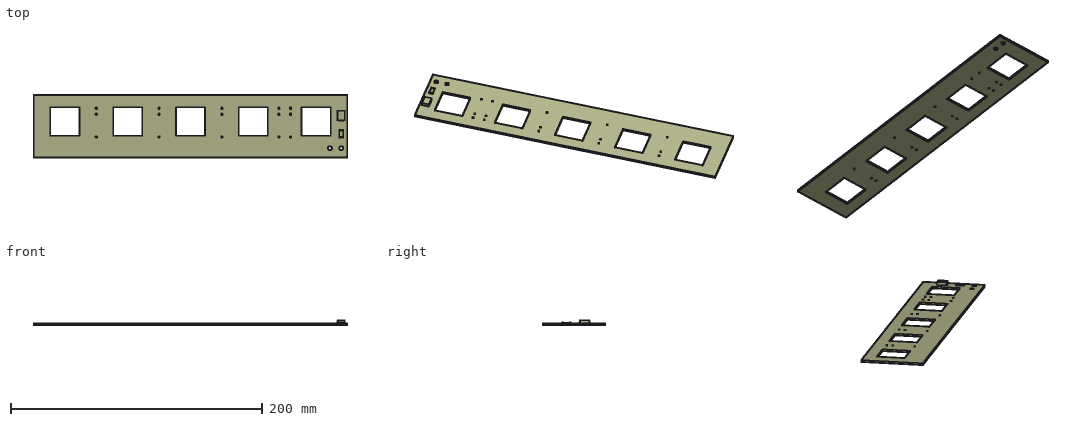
import cadquery as cq

BOARD_LENGTH = 250.0
BOARD_WIDTH = 50.0
BOARD_THICKNESS = 1.6

CELL_COUNT = 5
CELL_PITCH = BOARD_LENGTH / CELL_COUNT
WINDOW_LENGTH = 23.0
WINDOW_WIDTH = 22.5
WINDOW_Y = 3.8

PIN_HOLE_DIAMETER = 1.0
PIN_HOLE_ROWS = (14.2, 9.5, -8.5)
LAST_GAP_COLUMN_SPACING = 9.2

WIRE_HOLE_DIAMETER = 3.0
WIRE_HOLE_SPACING = 9.0
WIRE_HOLE_Y = -17.5

COMPONENT_X = 120.0

PACKAGE_WIDTH = 6.0
PACKAGE_LENGTH = 7.8
PACKAGE_Y = 8.5
PACKAGE_HEIGHT = 2.4
PARTING_LINE_HEIGHT = 1.1
PACKAGE_DRAFT = 5.0
LEAD_WIDTH = 3.0
LEAD_REACH = 0.2
LEAD_HEIGHT = 0.8

CHIP_WIDTH = 3.2
CHIP_LENGTH = 6.5
CHIP_Y = -6.0
TERMINAL_LENGTH = 0.8
TERMINAL_HEIGHT = 0.6
CHIP_BODY_HEIGHT = 0.55
CHIP_BODY_INSET = 0.15


def cell_x(index):
    """Centre of a cell along the board."""
    return (index - (CELL_COUNT - 1) / 2) * CELL_PITCH


def pin_column_positions():
    """X of every column of pin holes."""
    gaps = [cell_x(i) + CELL_PITCH / 2 for i in range(CELL_COUNT - 1)]
    last_gap = gaps.pop()
    half_spacing = LAST_GAP_COLUMN_SPACING / 2
    return gaps + [last_gap - half_spacing, last_gap + half_spacing]


def through_holes(diameter, positions):
    """Cutters for round holes through the full board thickness."""
    return cq.Workplane("XY").pushPoints(positions).circle(diameter / 2).extrude(BOARD_THICKNESS)


def make_board():
    """Flat board with its windows, pin holes and wire holes."""
    board = cq.Workplane("XY").rect(BOARD_LENGTH, BOARD_WIDTH).extrude(BOARD_THICKNESS)

    window_centres = [(cell_x(i), WINDOW_Y) for i in range(CELL_COUNT)]
    windows = (
        cq.Workplane("XY")
        .pushPoints(window_centres)
        .rect(WINDOW_LENGTH, WINDOW_WIDTH)
        .extrude(BOARD_THICKNESS)
    )

    pin_holes = [(x, y) for x in pin_column_positions() for y in PIN_HOLE_ROWS]
    wire_holes = [(COMPONENT_X - WIRE_HOLE_SPACING, WIRE_HOLE_Y), (COMPONENT_X, WIRE_HOLE_Y)]
    return (
        board.cut(windows)
        .cut(through_holes(PIN_HOLE_DIAMETER, pin_holes))
        .cut(through_holes(WIRE_HOLE_DIAMETER, wire_holes))
    )


def block_on_board(width, length, height, y):
    """Block standing on the board, centred on the component line."""
    base = cq.Workplane("XY", origin=(COMPONENT_X, y, BOARD_THICKNESS))
    return base.rect(width, length).extrude(height)


def make_package():
    """Two drafted halves meeting at the parting line, with a flat lead on the -Y end."""
    parting_z = BOARD_THICKNESS + PARTING_LINE_HEIGHT
    parting_plane = cq.Workplane("XY", origin=(COMPONENT_X, PACKAGE_Y, parting_z))
    upper_height = PACKAGE_HEIGHT - PARTING_LINE_HEIGHT
    upper_half = (
        parting_plane.rect(PACKAGE_WIDTH, PACKAGE_LENGTH).extrude(upper_height, taper=PACKAGE_DRAFT)
    )
    lower_half = (
        parting_plane.rect(PACKAGE_WIDTH, PACKAGE_LENGTH)
        .extrude(-PARTING_LINE_HEIGHT, taper=PACKAGE_DRAFT)
    )

    lead_length = PACKAGE_LENGTH / 2 + LEAD_REACH
    lead = block_on_board(LEAD_WIDTH, lead_length, LEAD_HEIGHT, PACKAGE_Y - lead_length / 2)
    return upper_half.union(lower_half).union(lead)


def make_chip():
    """Narrow body between two end terminals."""
    body_width = CHIP_WIDTH - 2 * CHIP_BODY_INSET
    body_length = CHIP_LENGTH - 2 * CHIP_BODY_INSET
    chip = block_on_board(body_width, body_length, CHIP_BODY_HEIGHT, CHIP_Y)

    terminal_offset = (CHIP_LENGTH - TERMINAL_LENGTH) / 2
    for side in (-1, 1):
        terminal_y = CHIP_Y + side * terminal_offset
        chip = chip.union(block_on_board(CHIP_WIDTH, TERMINAL_LENGTH, TERMINAL_HEIGHT, terminal_y))
    return chip


board = make_board()
package = make_package()
chip = make_chip()
bodies = [board, package, chip]
result = cq.Compound.makeCompound([body.solids().val() for body in bodies])